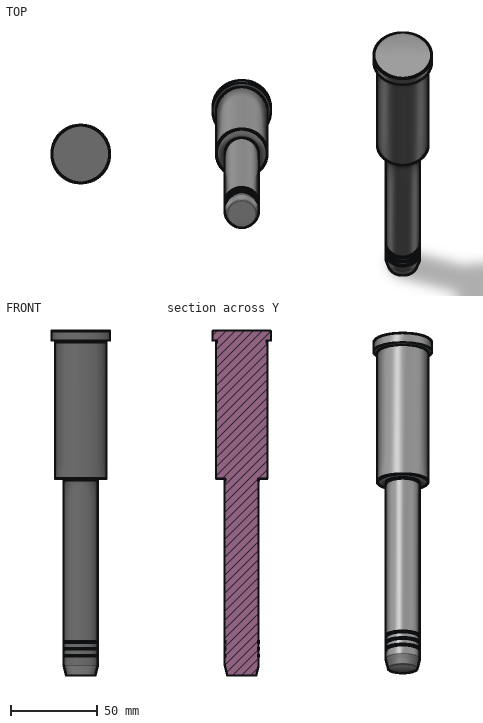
import cadquery as cq

total_length = 200.0

head_diameter = 34.0
head_thickness = 6.0
head_chamfer = 0.5

sleeve_diameter = 30.0
sleeve_length = 80.0
sleeve_chamfer = 0.5
sleeve_end = head_thickness + sleeve_length

pin_diameter = 20.0

neck_length = 1.0
neck_depth = 0.3
neck_end = sleeve_end + neck_length

groove_width = 1.0
groove_depth = 0.5
groove_fillet = 0.4

ring_groove_count = 3
first_ring_groove = 180.0
ring_groove_pitch = 4.0

taper_length = 6.0
tip_diameter = 17.0
tip_fillet = 0.5


def cylinder(diameter, start, end):
    """Solid cylinder on the Z axis between two stations below the top face."""
    return cq.Workplane("XY").workplane(offset=-end).circle(diameter / 2).extrude(end - start)


def cut_groove(body, diameter, start):
    """Cut a round-bottomed groove, starting at a station, into a body of the given diameter."""
    end = start + groove_width
    outer_radius = diameter / 2
    bottom_radius = outer_radius - groove_depth
    ring = cq.Workplane("XY").workplane(offset=-end)
    ring = ring.circle(outer_radius).circle(bottom_radius).extrude(groove_width)
    bottom_edges = cq.selectors.RadiusNthSelector(0)
    return body.cut(ring.edges(bottom_edges).fillet(groove_fillet))


def make_head():
    """Flat disc with its top rim chamfered."""
    return cylinder(head_diameter, 0, head_thickness).faces(">Z").edges().chamfer(head_chamfer)


def make_sleeve():
    """Thick upper shank, relieved under the head and chamfered at its lower end."""
    sleeve = cylinder(sleeve_diameter, head_thickness, sleeve_end)
    sleeve = sleeve.faces("<Z").edges().chamfer(sleeve_chamfer)
    return cut_groove(sleeve, sleeve_diameter, head_thickness)


def make_pin():
    """Slim lower shank with a neck, ring grooves and a tapered tip."""
    neck = cylinder(pin_diameter - 2 * neck_depth, sleeve_end, neck_end)
    pin = cylinder(pin_diameter, neck_end, total_length)
    taper_inset = (pin_diameter - tip_diameter) / 2
    pin = pin.faces("<Z").edges().chamfer(taper_length, taper_inset)
    pin = pin.faces("<Z").edges().fillet(tip_fillet)
    for index in range(ring_groove_count):
        pin = cut_groove(pin, pin_diameter, first_ring_groove + index * ring_groove_pitch)
    return neck.union(pin)


result = make_head().union(make_sleeve()).union(make_pin())